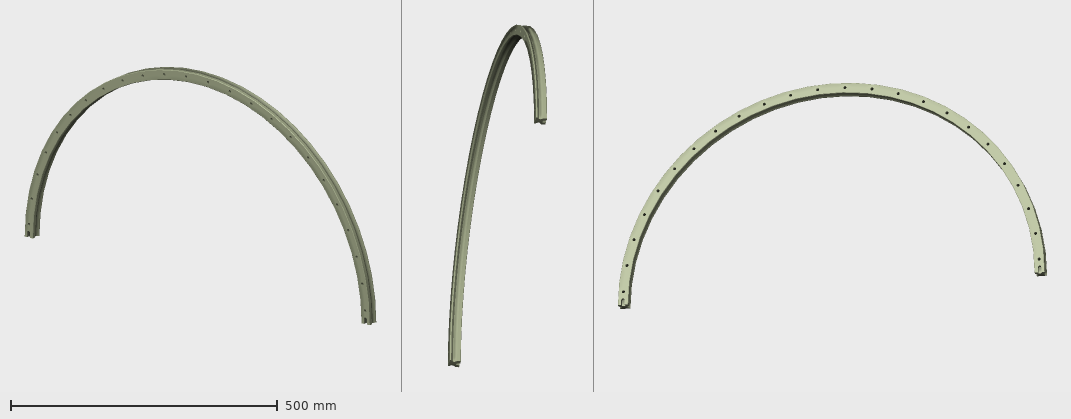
import cadquery as cq
import math

outer_radius = 410.0
radial_height = 20.0
thickness = 21.0
edge_chamfer = 1.0

groove_offset = 2.5
groove_mouth = 11.5
groove_floor = 3.0
groove_depth = 4.0

hole_count = 24
hole_diameter = 6.0

slot_width = 6.5
slot_height = 13.0
slot_depth = 6.5

inner_radius = outer_radius - radial_height
mid_radius = outer_radius - radial_height / 2
half_thickness = thickness / 2


def rim_points(rim_radius, inward):
    """Rim outline from -Y to +Y; inward is the sign of the radial step into the rail."""
    chamfer_radius = rim_radius + inward * edge_chamfer
    floor_radius = rim_radius + inward * groove_depth
    return [
        (chamfer_radius, -half_thickness),
        (rim_radius, -half_thickness + edge_chamfer),
        (rim_radius, groove_offset - groove_mouth / 2),
        (floor_radius, groove_offset - groove_floor / 2),
        (floor_radius, groove_offset + groove_floor / 2),
        (rim_radius, groove_offset + groove_mouth / 2),
        (rim_radius, half_thickness - edge_chamfer),
        (chamfer_radius, half_thickness),
    ]


def rail_body():
    """Cross-section swept from the +X foot over the top to the -X foot."""
    section = rim_points(outer_radius, -1) + rim_points(inner_radius, 1)[::-1]
    return cq.Workplane("XY").polyline(section).close().revolve(180, (0, 0, 0), (0, -1, 0))


def mounting_holes():
    pitch = math.pi / hole_count
    angles = [(index + 0.5) * pitch for index in range(hole_count)]
    centres = [(mid_radius * math.cos(a), mid_radius * math.sin(a)) for a in angles]
    return (
        cq.Workplane("XZ")
        .pushPoints(centres)
        .circle(hole_diameter / 2)
        .extrude(half_thickness, both=True)
    )


def foot_slot(centre_x):
    slot_radius = slot_width / 2
    shoulder = slot_height - slot_radius
    return (
        cq.Workplane("XZ", origin=(centre_x, -half_thickness, 0))
        .moveTo(-slot_radius, 0)
        .lineTo(-slot_radius, shoulder)
        .threePointArc((0, slot_height), (slot_radius, shoulder))
        .lineTo(slot_radius, 0)
        .close()
        .extrude(-slot_depth)
    )


result = rail_body().cut(mounting_holes())
for side in (-1, 1):
    result = result.cut(foot_slot(side * mid_radius))